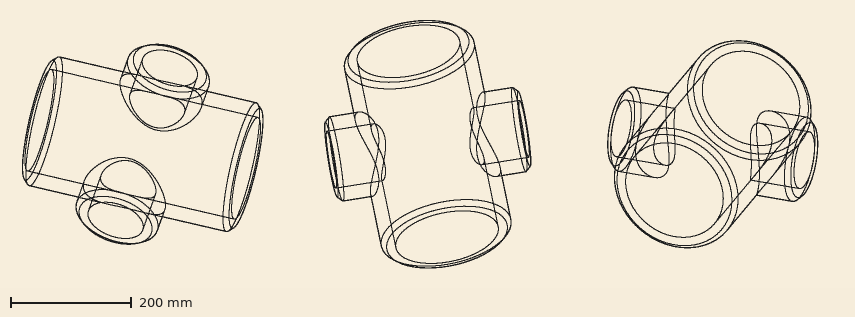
import cadquery as cq

run_length = 355.5
run_diameter = 219.0
run_bore = 172.8

branch_length = 324.0
branch_diameter = 141.5
branch_bore = 95.3

bevel_axial = 8.2
bevel_radial = 8.0


def beveled_bar(length, diameter):
    """Solid bar along X, centred on the origin, with both ends beveled."""
    half = length / 2
    radius = diameter / 2
    end_radius = radius - bevel_radial
    shoulder = half - bevel_axial
    return (
        cq.Workplane("XY")
        .moveTo(-half, 0)
        .lineTo(-half, end_radius)
        .lineTo(-shoulder, radius)
        .lineTo(shoulder, radius)
        .lineTo(half, end_radius)
        .lineTo(half, 0)
        .close()
        .revolve(360, (0, 0, 0), (1, 0, 0))
    )


def bore_cutter(length, diameter):
    """Cylinder along X, centred on the origin, for a through bore."""
    return cq.Workplane("YZ").circle(diameter / 2).extrude(length / 2, both=True)


def turn_to_y(body):
    """Turn a body lying along X so that it lies along Y."""
    return body.rotate((0, 0, 0), (0, 0, 1), 90)


outside = beveled_bar(run_length, run_diameter).union(
    turn_to_y(beveled_bar(branch_length, branch_diameter))
)

result = outside.cut(bore_cutter(run_length, run_bore)).cut(
    turn_to_y(bore_cutter(branch_length, branch_bore))
)